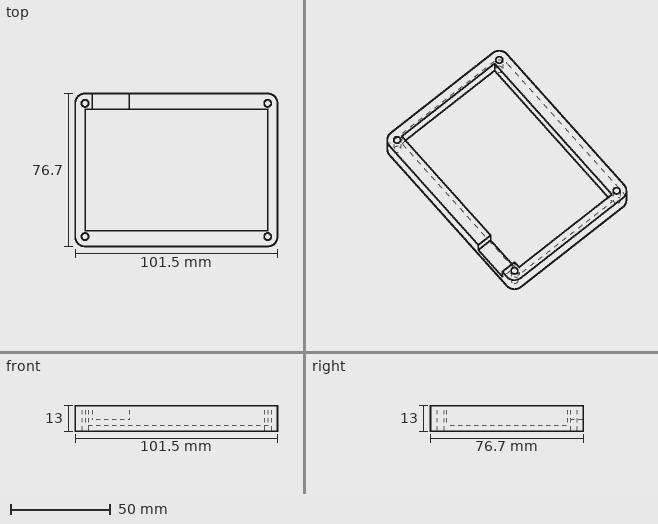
import cadquery as cq

length = 101.5
width = 76.7
height = 13.0
corner_radius = 5.0

end_wall = 5.0
side_wall = 8.0
floor_thickness = 3.0

hole_diameter = 3.5

notch_start = 8.5
notch_width = 18.7
notch_depth = 7.0


def make_block():
    block = cq.Workplane("XY").box(length, width, height, centered=(True, True, False))
    return block.edges("|Z").fillet(corner_radius)


def make_cavity():
    return (
        cq.Workplane("XY", origin=(0, 0, floor_thickness))
        .rect(length - 2 * end_wall, width - 2 * side_wall)
        .extrude(height - floor_thickness)
    )


def make_screw_holes():
    return (
        cq.Workplane("XY")
        .rect(length - 2 * corner_radius, width - 2 * corner_radius, forConstruction=True)
        .vertices()
        .circle(hole_diameter / 2)
        .extrude(height)
    )


def make_notch():
    corner = (notch_start - length / 2, width / 2 - side_wall, height - notch_depth)
    return cq.Workplane("XY", origin=corner).box(notch_width, side_wall, notch_depth, centered=False)


result = make_block().cut(make_cavity()).cut(make_screw_holes()).cut(make_notch())